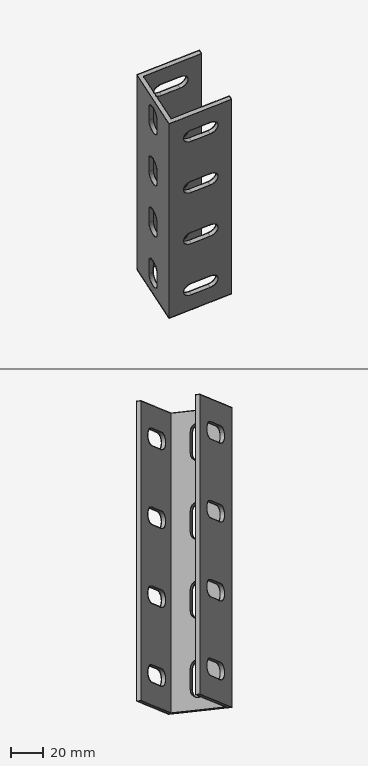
import cadquery as cq

length = 190.0
width = 44.0
depth = 43.5
thickness = 3.0

slot_count = 4
slot_pitch = 50.0
slot_length = 24.0
slot_width = 11.0
flange_slot_from_web = 22.0


def make_channel():
    outer = cq.Workplane("XY").box(width, depth, length, centered=(True, False, False))
    inner = (
        cq.Workplane("XY")
        .box(width - 2 * thickness, depth, length, centered=(True, False, False))
        .translate((0, thickness, 0))
    )
    return outer.cut(inner)


def web_slot(z):
    """Upright slot cutter through the web only."""
    return (
        cq.Workplane("XZ", origin=(0, 0, z))
        .slot2D(slot_length, slot_width, 90)
        .extrude(-thickness)
    )


def flange_slots(z):
    """Level slot cutter through both flanges."""
    return (
        cq.Workplane("YZ", origin=(0, flange_slot_from_web, z))
        .slot2D(slot_length, slot_width)
        .extrude(width / 2, both=True)
    )


result = make_channel()
first_slot_z = (length - (slot_count - 1) * slot_pitch) / 2
for row in range(slot_count):
    row_z = first_slot_z + row * slot_pitch
    result = result.cut(web_slot(row_z)).cut(flange_slots(row_z))